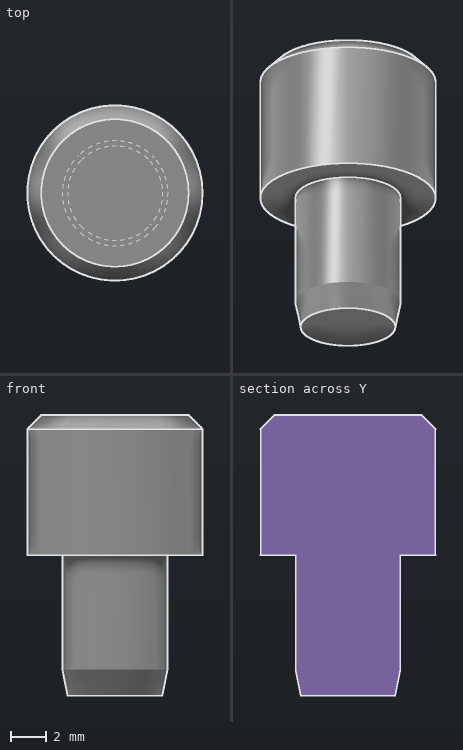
import cadquery as cq

head_diameter = 10.0
head_height = 8.0
head_chamfer = 0.8

shank_diameter = 6.0
shank_length = 8.0
lead_in_length = 1.5
lead_in_inset = 0.3

head_radius = head_diameter / 2
shank_radius = shank_diameter / 2
tip_radius = shank_radius - lead_in_inset


def make_pin():
    """Revolve the half profile about Z; the head seats on the plane Z = 0."""
    return (
        cq.Workplane("XZ")
        .moveTo(0, -shank_length)
        .lineTo(tip_radius, -shank_length)
        .lineTo(shank_radius, lead_in_length - shank_length)
        .lineTo(shank_radius, 0)
        .lineTo(head_radius, 0)
        .lineTo(head_radius, head_height - head_chamfer)
        .lineTo(head_radius - head_chamfer, head_height)
        .lineTo(0, head_height)
        .close()
        .revolve(360, (0, 0, 0), (0, 1, 0))
    )


result = make_pin()